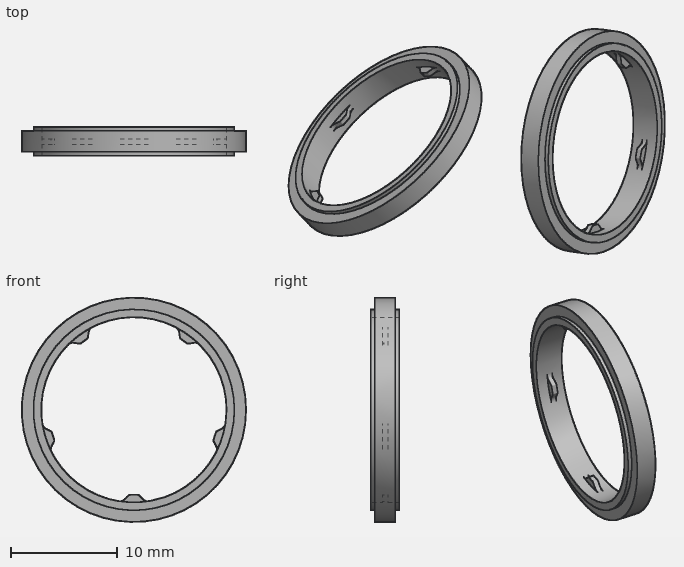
import cadquery as cq
import math

outer_diameter = 21.0
shoulder_diameter = 18.8
bore_diameter = 17.3
ring_width = 2.7
shoulder_step = 0.38
flange_width = ring_width - 2 * shoulder_step

tooth_count = 5
tooth_width = 0.52
tooth_tip_radius = 7.94
tip_half_length = 0.45
flank_angle = 45.0
root_fillet = 0.59
tip_fillet = 0.2
embed_radius = (bore_diameter + shoulder_diameter) / 4


def centered_disc(diameter, width):
    """Solid disc on the Y axis, centred on the XZ plane."""
    return cq.Workplane("XZ", origin=(0, -width / 2, 0)).circle(diameter / 2).extrude(-width)


def make_tooth():
    """Bottom tooth with rounded tip edges and concave roots meeting the bore."""
    bore_radius = bore_diameter / 2
    slope = math.tan(math.radians(flank_angle))
    embed_half_length = tip_half_length + (embed_radius - tooth_tip_radius) / slope
    body = (
        cq.Workplane("XZ", origin=(0, -tooth_width / 2, 0))
        .polyline([
            (-tip_half_length, -tooth_tip_radius),
            (tip_half_length, -tooth_tip_radius),
            (embed_half_length, -embed_radius),
            (-embed_half_length, -embed_radius),
        ])
        .close()
        .extrude(-tooth_width)
    )
    band = centered_disc(2 * embed_radius, tooth_width).cut(centered_disc(bore_diameter, tooth_width))
    tooth = band.union(body)

    offset = tooth_tip_radius - slope * tip_half_length
    root_x = (-slope * offset + math.sqrt((1 + slope**2) * bore_radius**2 - offset**2)) / (1 + slope**2)
    root_z = -offset - slope * root_x
    for side in (-1, 1):
        root = cq.selectors.NearestToPointSelector((side * root_x, 0, root_z))
        tooth = tooth.edges("|Y").edges(root).fillet(root_fillet)
        tip = cq.selectors.NearestToPointSelector((side * tip_half_length, 0, -tooth_tip_radius))
        tooth = tooth.edges("|Y").edges(tip).fillet(tip_fillet)
    return tooth


flange = centered_disc(outer_diameter, flange_width)
shoulders = centered_disc(shoulder_diameter, ring_width)
result = flange.union(shoulders).cut(centered_disc(bore_diameter, ring_width))

tooth = make_tooth()
for index in range(tooth_count):
    angle = index * 360 / tooth_count
    result = result.union(tooth.rotate((0, 0, 0), (0, 1, 0), angle))
result = result.clean()